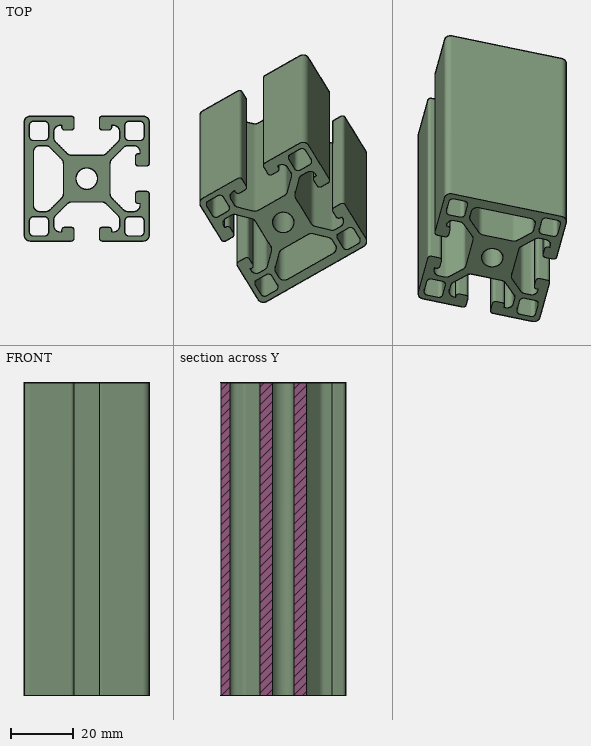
import cadquery as cq

side = 40.0
length = 100.0
corner_radius = 2.0
bore_diameter = 6.8

slot_opening = 8.0
lip_thickness = 4.5
lip_radius = 1.0
groove_half_width = 10.5
groove_reach = 17.0
groove_radius = 2.0
hook_half_width = 8.0
core_reach = 7.5
web_offset = 1.8
web_radius = 2.0

hollow_radius = 1.3
hollow_wall = 1.7

half_side = side / 2
half_opening = slot_opening / 2
lip_reach = half_side - lip_thickness
floor_half_width = core_reach - web_offset
web_end_reach = groove_half_width + web_offset

hollow_inner = groove_half_width + hollow_wall
hollow_outer = half_side - hollow_wall
hollow_size = hollow_outer - hollow_inner
hollow_spacing = hollow_inner + hollow_outer


def both_sides(*points):
    """List the points, then their mirror images across the X axis in reverse order."""
    return list(points) + [(x, -y) for x, y in reversed(points)]


def round_edges(body, points, radius):
    """Fillet the lengthwise edges that pass through the given XY points."""
    for x, y in points:
        nearest = cq.selectors.NearestToPointSelector((x, y, length / 2))
        body = body.edges("|Z").edges(nearest).fillet(radius)
    return body


def turned(body, angle):
    """Turn a body about the profile axis."""
    return body.rotate((0, 0, 0), (0, 0, 1), angle)


def bar(x_start, x_end, width):
    """Full-length block between two X positions, centred on the X axis."""
    section = cq.Workplane("XY").center((x_start + x_end) / 2, 0).rect(x_end - x_start, width)
    return section.extrude(length)


def rounded_block():
    """Outer body of the profile."""
    return cq.Workplane("XY").rect(side, side).extrude(length).edges("|Z").fillet(corner_radius)


def centre_bore():
    """Cutter for the round hole along the axis."""
    return cq.Workplane("XY").circle(bore_diameter / 2).extrude(length)


def corner_hollows():
    """Cutter for the four rounded square hollows."""
    corners = cq.Workplane("XY").rect(hollow_spacing, hollow_spacing, forConstruction=True).vertices()
    return corners.rect(hollow_size, hollow_size).extrude(length).edges("|Z").fillet(hollow_radius)


def chamber():
    """Cutter for the closed hollow between two webs, built towards +X."""
    floor_corner = (core_reach, floor_half_width)
    web_end = (web_end_reach, groove_half_width)
    outer_corner = (groove_reach, groove_half_width)
    outline = both_sides(floor_corner, web_end, outer_corner)
    cutter = cq.Workplane("XY").polyline(outline).close().extrude(length)
    cutter = round_edges(cutter, both_sides(floor_corner, web_end), web_radius)
    return round_edges(cutter, both_sides(outer_corner), groove_radius)


def open_slot():
    """Cutter for a T-slot open towards +X: the chamber without its lips, plus the opening."""
    lips = bar(lip_reach, half_side, 2 * hook_half_width)
    opening = bar(core_reach, half_side, slot_opening)
    return chamber().cut(lips).union(opening)


def cut_open_slot(body):
    """Cut a T-slot into the +X side and round the edges of its lips."""
    lip_edges = both_sides(
        (half_side, half_opening),
        (lip_reach, half_opening),
        (lip_reach, hook_half_width),
    )
    return round_edges(body.cut(open_slot()), lip_edges, lip_radius)


profile = rounded_block().cut(centre_bore()).cut(corner_hollows())

profile = profile.cut(turned(chamber(), 180))

profile = turned(profile, 90)
for _ in range(3):
    profile = turned(cut_open_slot(profile), -90)

result = turned(profile, 180)